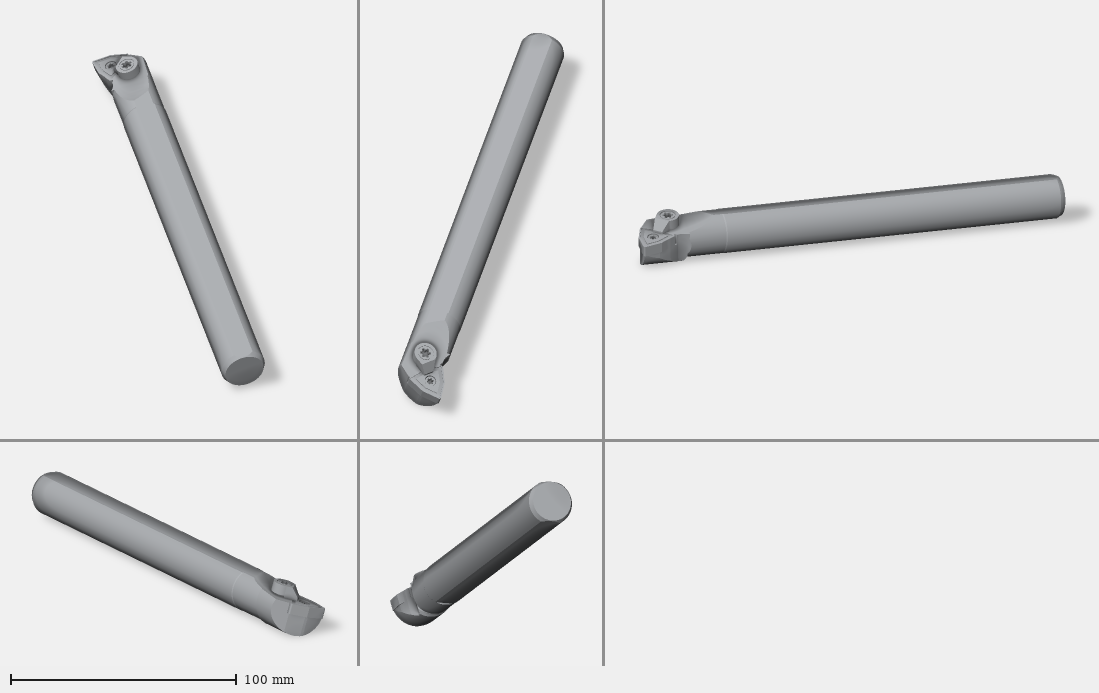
import cadquery as cq
import math

bar_length = 200.0
shank_radius = 10.0
shank_start = 40.0
neck_radius = 9.8
neck_taper_length = 0.5
rear_chamfer_length = 2.5
rear_chamfer_depth = 1.2
flat_height = 9.0

lobe_radius = 11.0
lobe_offset = lobe_radius - neck_radius
lobe_end = 22.5
lobe_chamfer = 1.2

cutting_reach = 13.0
tip_z = 0.2
pitch_angle = 6.0
roll_angle = 14.0
inscribed_radius = 6.5
insert_thickness = 4.8
tip_half_angle = 40.0
bend_half_angle = 80.0
tip_direction = 225.0
third_turn = 120.0
tip_to_bend_turn = third_turn / 2
nose_radius = 0.8
insert_hole_radius = 2.5
land_width = 0.5
groove_width = 1.5
groove_depth = 0.5
relief_radius = 0.8

pin_radius = 2.5
pin_recess = 0.5
pin_socket_radius = 1.5
pin_socket_depth = 2.0

wall_clearance = 0.5
bend_facet_angle = 6.0
front_chamfer_angle = 49.0
prism_below = 24.0
prism_above = 16.0
prism_reach = 60.0
wall_break = (13.5, 2.8)
wall_middle = (15.8, 3.8)
runout_start = (17.8, 4.5)
runout_middle = (20.8, 4.0)
runout_end = (23.5, 1.8)

scoop_start = 18.5
scoop_radius = 56.0
scoop_sweep = 90.0
scoop_turn = 11.0

clamp_center = (16.5, 13.5)
clamp_radius = 5.0
clamp_height = 5.5
clamp_gap = 0.8
nose_reach_top = 4.5
nose_reach_bottom = 7.8
nose_lip = 1.2
nose_half_width = 2.2
nose_offset = 1.5
screw_radius = 3.5
screw_recess = 0.5
screw_rim = 0.5
screw_socket_radius = 2.5
screw_socket_depth = 2.8
socket_lobes = 6
socket_root_ratio = 0.7

slope_x = math.tan(math.radians(pitch_angle))
slope_y = math.tan(math.radians(roll_angle))
tip_sine = math.sin(math.radians(tip_half_angle))
bend_sine = math.sin(math.radians(bend_half_angle))
nose_setback = nose_radius * (1 / (tip_sine * math.sqrt(2)) - 1)
top_plane = cq.Plane(
    origin=(-nose_setback, -cutting_reach - nose_setback, tip_z),
    xDir=(1, 0, slope_x),
    normal=(-slope_x, -slope_y, 1),
)
tip_distance = inscribed_radius / tip_sine
insert_center = (tip_distance / math.sqrt(2), tip_distance / math.sqrt(2))


def around_insert(radius, angle):
    """Point of the top plane at a polar position about the insert centre."""
    turn = math.radians(angle)
    return (insert_center[0] + radius * math.cos(turn), insert_center[1] + radius * math.sin(turn))


def on_top(height=0.0):
    """Workplane parallel to the top face, at a height above it."""
    return cq.Workplane(top_plane).workplane(offset=height)


def trigon(height, inset, depth):
    """Trigon prism going down from a height, its sides moved inward by an inset."""
    radius = inscribed_radius - inset
    points = []
    for corner in range(3):
        angle = tip_direction + corner * third_turn
        points.append(around_insert(radius / tip_sine, angle))
        points.append(around_insert(radius / bend_sine, angle + tip_to_bend_turn))
    return on_top(height).polyline(points).close().extrude(-depth)


def insert_blank():
    """Trigon prism with its three cutting corners rounded."""
    blank = trigon(0, 0, insert_thickness)
    for corner in range(3):
        tip = around_insert(tip_distance, tip_direction + corner * third_turn)
        middle = top_plane.toWorldCoords((tip[0], tip[1], -insert_thickness / 2))
        blank = blank.edges(cq.selectors.NearestToPointSelector(middle.toTuple())).fillet(nose_radius)
    return blank


def make_insert():
    """Cutting insert with its hole and a chip groove behind the edges of its top face."""
    outer = trigon(0, land_width, groove_depth)
    inner = trigon(0, land_width + groove_width, groove_depth)
    hole = on_top().center(*insert_center).circle(insert_hole_radius).extrude(-insert_thickness)
    return insert_blank().cut(outer.cut(inner)).cut(hole).solids()


def make_bar():
    """Neck and shank with the rear chamfer and the two clamping flats."""
    profile = [
        (0, 0),
        (0, neck_radius),
        (shank_start, neck_radius),
        (shank_start + neck_taper_length, shank_radius),
        (bar_length - rear_chamfer_length, shank_radius),
        (bar_length, shank_radius - rear_chamfer_depth),
        (bar_length, 0),
    ]
    bar = cq.Workplane("XY").polyline(profile).close().revolve(360, (0, 0, 0), (1, 0, 0))
    flat_cut = cq.Workplane("XY").box(
        bar_length, 2 * shank_radius, shank_radius, centered=(False, True, False)
    )
    upper_cut = flat_cut.translate((0, 0, flat_height))
    lower_cut = flat_cut.translate((shank_start, 0, -flat_height - shank_radius))
    return bar.cut(upper_cut).cut(lower_cut)


def make_lobe():
    """Thicker cylinder round the head, chamfered where it meets the neck."""
    lobe = cq.Workplane("YZ").center(-lobe_offset, 0).circle(lobe_radius).extrude(lobe_end)
    return lobe.faces(">X").chamfer(lobe_chamfer)


def head_walls():
    """Prism along the insert axis that bounds the head's front and side walls."""
    radius = inscribed_radius - wall_clearance
    tip_radius = radius / tip_sine
    facet_radius = radius / math.cos(math.radians(90 - bend_half_angle - bend_facet_angle))
    left_bend = tip_direction - tip_to_bend_turn
    lower_bend = tip_direction + tip_to_bend_turn
    upper_tip = around_insert(tip_radius, tip_direction - third_turn)
    chamfer_run = prism_reach * math.cos(math.radians(front_chamfer_angle))
    chamfer_rise = prism_reach * math.sin(math.radians(front_chamfer_angle))
    outline = (
        on_top(prism_above)
        .moveTo(*upper_tip)
        .lineTo(*around_insert(facet_radius, left_bend - bend_facet_angle))
        .lineTo(*around_insert(facet_radius, left_bend + bend_facet_angle))
        .lineTo(*around_insert(tip_radius, tip_direction))
        .lineTo(*around_insert(facet_radius, lower_bend - bend_facet_angle))
        .lineTo(*around_insert(facet_radius, lower_bend + bend_facet_angle))
        .lineTo(*wall_break)
        .threePointArc(wall_middle, runout_start)
        .threePointArc(runout_middle, runout_end)
        .lineTo(runout_end[0], -prism_reach)
        .lineTo(prism_reach, -prism_reach)
        .lineTo(prism_reach, upper_tip[1] + chamfer_rise)
        .lineTo(upper_tip[0] + chamfer_run, upper_tip[1] + chamfer_rise)
        .close()
    )
    return outline.extrude(-prism_above - prism_below)


def top_scoop():
    """Cutter for the head's flat top face and its concave run-out towards the shank."""
    side_plane = cq.Plane(
        origin=top_plane.toWorldCoords((0, insert_center[1], 0)),
        xDir=top_plane.xDir,
        normal=-top_plane.yDir,
    ).rotated((0, -scoop_turn, 0))
    turn = math.radians(scoop_sweep / 2)
    arc_middle = (
        scoop_start + scoop_radius * math.sin(turn),
        scoop_radius * (1 - math.cos(turn)),
    )
    return (
        cq.Workplane(side_plane)
        .moveTo(-prism_reach, 0)
        .lineTo(scoop_start, 0)
        .threePointArc(arc_middle, (scoop_start + scoop_radius, scoop_radius))
        .lineTo(-prism_reach, scoop_radius)
        .close()
        .extrude(prism_reach, both=True)
    )


def star_socket(workplane, radius, depth):
    """Lobed star recess going down from a workplane."""
    step = 2 * math.pi / socket_lobes
    root = radius * socket_root_ratio
    flank = radius * math.cos(step / 4)

    def at(distance, angle):
        return (distance * math.cos(angle), distance * math.sin(angle))

    outline = workplane.moveTo(*at(flank, -step / 4))
    for lobe in range(socket_lobes):
        middle = lobe * step
        outline = outline.threePointArc(at(radius, middle), at(flank, middle + step / 4))
        outline = outline.threePointArc(at(root, middle + step / 2), at(flank, middle + 3 * step / 4))
    return outline.close().extrude(-depth)


def make_clamp():
    """Round clamp raised on its socket screw, with a nose that slopes down to the insert."""
    base = cq.Plane(
        origin=top_plane.toWorldCoords((*clamp_center, 0)),
        xDir=-top_plane.xDir - top_plane.yDir,
        normal=top_plane.zDir,
    )
    nose = (
        cq.Workplane(base)
        .moveTo(0, -clamp_radius)
        .lineTo(nose_reach_bottom, -nose_offset - nose_half_width)
        .lineTo(nose_reach_bottom, -nose_offset + nose_half_width)
        .lineTo(0, clamp_radius)
        .close()
        .extrude(clamp_height)
    )
    slope_cut = (
        cq.Workplane(base)
        .transformed(rotate=(90, 0, 0))
        .moveTo(nose_reach_bottom, nose_lip)
        .lineTo(nose_reach_bottom, clamp_height)
        .lineTo(nose_reach_top, clamp_height)
        .close()
        .extrude(clamp_radius, both=True)
    )
    disc = cq.Workplane(base).circle(clamp_radius).extrude(clamp_height)
    gap_ring = cq.Workplane(base).circle(clamp_radius).circle(screw_radius).extrude(clamp_gap)
    clamp = disc.union(nose).cut(slope_cut).cut(gap_ring)
    top = cq.Workplane(base).workplane(offset=clamp_height)
    gap = top.circle(screw_radius).circle(screw_radius - screw_rim).extrude(-screw_recess)
    return clamp.cut(gap).cut(star_socket(top, screw_socket_radius, screw_socket_depth))


def make_pin():
    """Socket pin standing on the seat inside the insert hole."""
    top = on_top(-pin_recess).center(*insert_center)
    pin = top.circle(pin_radius).extrude(pin_recess - insert_thickness)
    return pin.cut(star_socket(top, pin_socket_radius, pin_socket_depth))


def seat_reliefs():
    """Round clearances for the two insert corners that sit inside the head."""
    centers = [around_insert(tip_distance, tip_direction + side * third_turn) for side in (-1, 1)]
    return on_top().pushPoints(centers).circle(relief_radius).extrude(-insert_thickness)


def make_holder():
    """Boring bar with its shaped head, insert seat, pin and clamp."""
    holder = make_bar().union(make_lobe()).cut(top_scoop())
    head_space = cq.Workplane("XY").box(
        shank_start, prism_reach, prism_reach, centered=(False, True, True)
    )
    outside = head_space.cut(head_walls())
    holder = holder.cut(outside).cut(insert_blank()).cut(seat_reliefs())
    return holder.union(make_pin()).union(make_clamp()).solids()


holder = make_holder()
insert = make_insert()
result = cq.Compound.makeCompound([holder.val(), insert.val()])